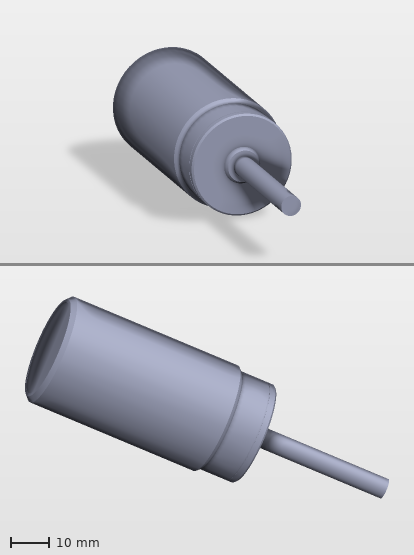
import cadquery as cq

total_length = 98.0

barrel_diameter = 30.0
barrel_length = 50.0
front_chamfer = 1.3
rear_chamfer_length = 1.2

face_diameter = 25.8
face_recess = 0.1

cap_diameter = 27.8
cap_end = 60.0
cap_chamfer = 0.5
groove_start = 57.6
groove_width = 0.3
groove_depth = 0.1

rear_chamfer_height = (barrel_diameter - cap_diameter) / 2

gland_base_diameter = 10.0
gland_tip_diameter = 8.6
gland_length = 1.2

cable_diameter = 5.5


def disc(diameter, start, end):
    """Cylinder along the X axis between two X positions."""
    return cq.Workplane("YZ", origin=(start, 0, 0)).circle(diameter / 2).extrude(end - start)


def make_barrel():
    barrel = disc(barrel_diameter, 0, barrel_length)
    barrel = barrel.faces("<X").chamfer(front_chamfer)
    barrel = barrel.faces(">X").chamfer(rear_chamfer_length, rear_chamfer_height)
    return barrel.cut(disc(face_diameter, 0, face_recess))


def make_cap():
    cap = disc(cap_diameter, barrel_length, cap_end).faces(">X").chamfer(cap_chamfer)
    groove_end = groove_start + groove_width
    groove = disc(cap_diameter, groove_start, groove_end)
    groove = groove.cut(disc(cap_diameter - 2 * groove_depth, groove_start, groove_end))
    return cap.cut(groove)


def make_gland():
    return (
        cq.Workplane("YZ", origin=(cap_end, 0, 0))
        .circle(gland_base_diameter / 2)
        .workplane(offset=gland_length)
        .circle(gland_tip_diameter / 2)
        .loft(ruled=True)
    )


cable = disc(cable_diameter, cap_end, total_length)

result = make_barrel().union(make_cap()).union(make_gland()).union(cable)

result = result.translate((-total_length / 2, 0, 0))